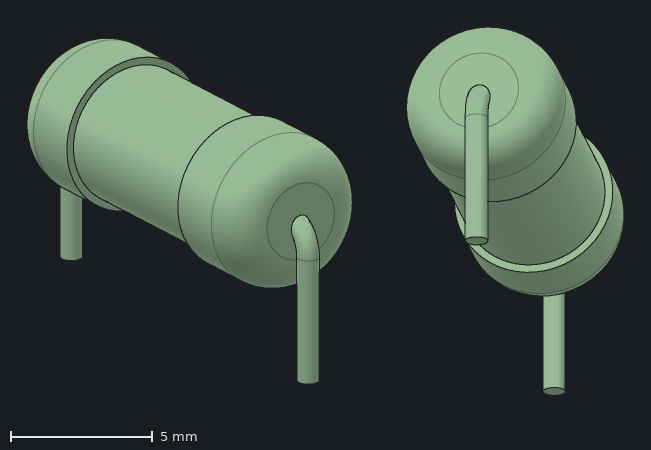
import cadquery as cq

overall_length = 16.04
overall_height = 8.7
cap_diameter = 5.7
barrel_diameter = 5.13
lead_diameter = 0.8

body_length = 14.29
cap_length = body_length / 4
cap_round = cap_diameter / 4

bend_radius = 1.2
lead_x = (overall_length - lead_diameter) / 2
lead_bottom = cap_diameter / 2 - overall_height


def make_barrel():
    """Central cylinder, reaching into both caps up to their rounded rims."""
    barrel_length = body_length - 2 * cap_round
    return (
        cq.Workplane("YZ")
        .circle(barrel_diameter / 2)
        .extrude(barrel_length / 2, both=True)
    )


def make_cap():
    """End cap on the -X side with a rounded outer rim."""
    return (
        cq.Workplane("YZ", origin=(-body_length / 2, 0, 0))
        .circle(cap_diameter / 2)
        .extrude(cap_length)
        .faces("<X")
        .edges()
        .fillet(cap_round)
    )


def make_lead():
    """Lead on the -X side: straight up, then bent a quarter turn into the cap."""
    path = (
        cq.Workplane("XZ")
        .moveTo(-lead_x, lead_bottom)
        .lineTo(-lead_x, -bend_radius)
        .tangentArcPoint((bend_radius, bend_radius), relative=True)
    )
    return (
        cq.Workplane("XY", origin=(-lead_x, 0, lead_bottom))
        .circle(lead_diameter / 2)
        .sweep(path)
    )


end = make_cap().union(make_lead())
result = make_barrel().union(end).union(end.mirror("YZ"))